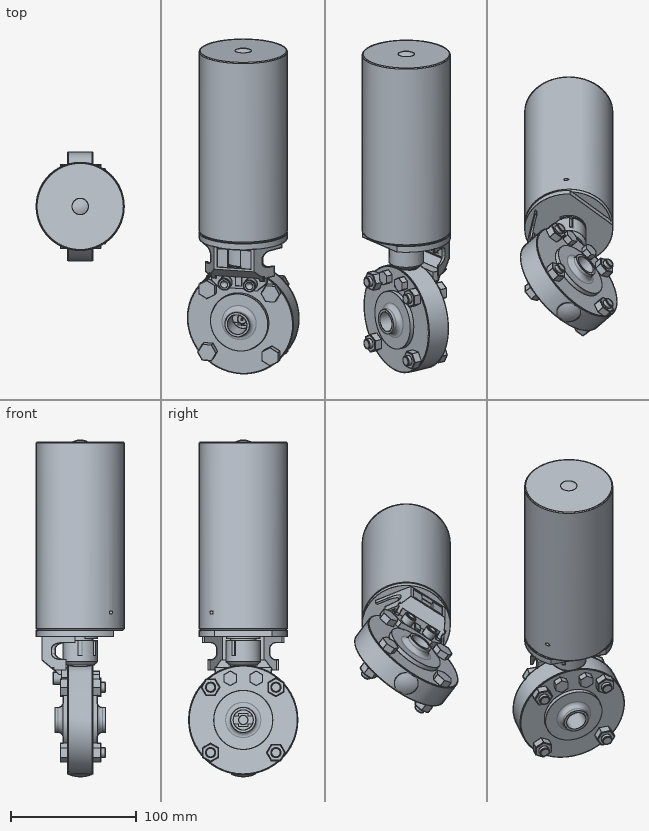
import cadquery as cq
import math


body_radius = 43.5
body_half_width = 10.0
body_edge_chamfer = 0.6
hub_diameter = 47.0
hub_half_width = 13.6
pipe_outer_diameter = 20.0
pipe_bore_diameter = 16.0
pipe_half_length = 20.15
pipe_root_fillet = 4.0
foot_diameter = 19.0
foot_projection = 1.8
foot_base_z = -43.2

disc_half_thickness = 2.0
disc_band_half_height = 3.3
disc_band_half_thickness = 3.0
disc_hub_diameter = 7.32
disc_hub_half_length = 4.5
disc_hub_hole_diameter = 1.8
disc_hub_hole_depth = 1.5
disc_boss_half_height = 5.2

bolt_offset = 26.0
bolt_diameter = 8.0
bolt_end_x = pipe_half_length
bolt_end_chamfer = 0.6
bolt_hex_flats = 13.0
bolt_head_height = 5.8
bolt_nut_height = 6.6
hex_edge_chamfer = 0.5
bolt_places = [(1, 1, 30), (1, -1, 0), (-1, 1, 0), (-1, -1, 30)]

actuator_radius = 35.1
actuator_bottom_z = 71.1
actuator_top_z = 221.0
actuator_bottom_chamfer = 1.5
actuator_top_chamfer = 0.8
overall_height = 268.0
dome_radius = 6.5
dome_height = overall_height - (actuator_top_z + body_radius + foot_projection)
vent_diameter = 2.5
vent_x = 24.4
vent_z = 85.5
vent_floor_y = -20.0

plate_bottom_z = 66.3
plate_flat_x = 26.5

stem_diameter = 20.0
collar_radius = 13.8
collar_bottom_z = 43.8
collar_top_z = 63.1
collar_neck_height = 2.6
relief_left_x = -1.6
relief_right_x = 1.5
relief_bottom_z = 51.3
relief_depth = 0.3
groove_left_x = 10.6
groove_right_x = 12.0
groove_floor_y = -6.2
spigot_left_x = 4.0
spigot_height = 1.7

bracket_front_x = -30.4
bracket_front_half_width = 16.5
bracket_rear_x = -4.0
bracket_rear_half_width = 32.6
bracket_front_wall = 3.2
bracket_side_wall = 1.6
bracket_bottom_z = 39.7
lower_arm_rear_x = -11.2
slope_top_z = 47.6
slope_angle = 40.0
notch_half_width = 21.1
notch_bottom_z = 47.9
notch_top_z = 61.5
notch_fillet = 5.0
panel_half_width = 13.8
panel_bottom_z = 49.5
panel_top_z = 64.7
panel_depth = 0.6
window_half_width = 5.3

foot_plate_front_x = -15.0
foot_plate_half_width = 22.4
foot_plate_corner_z = 33.8
foot_plate_lower_half_width = 15.0
foot_plate_lower_z = 27.3
foot_plate_arch_z = 28.7
shelf_thickness = 2.0
rib_half_width = 2.5
rib_front_x = -16.2
rib_bottom_z = 30.9
gusset_inner_y = 18.0
gusset_outer_y = 21.2
gusset_bottom_z = 36.2

screw_y = 10.3
screw_z = 33.1
screw_head_diameter = 10.0
screw_head_end_x = -21.8
screw_socket_diameter = 6.0
screw_socket_depth = 3.0
screw_head_chamfer = 0.6
screw_nut_flats = 10.0
screw_nut_height = 5.4
screw_nut_angle = 30


def x_cylinder(radius, x_start, x_end, y=0.0, z=0.0):
    return (
        cq.Workplane("YZ", origin=(x_start, y, z))
        .circle(radius)
        .extrude(x_end - x_start)
    )


def z_cylinder(radius, z_start, z_end):
    return cq.Workplane("XY").workplane(offset=z_start).circle(radius).extrude(z_end - z_start)


def box(x_range, y_range, z_range):
    lengths = [high - low for low, high in (x_range, y_range, z_range)]
    corner = (x_range[0], y_range[0], z_range[0])
    return cq.Workplane("XY").box(*lengths, centered=False).translate(corner)


def hexagon(flats, x_start, x_end, y, z, corner_angle):
    """Hexagonal prism along X with one corner at corner_angle from the Y axis."""
    prism = (
        cq.Workplane("YZ")
        .polygon(6, flats / math.cos(math.pi / 6))
        .extrude(x_end - x_start)
        .rotate((0, 0, 0), (1, 0, 0), corner_angle)
    )
    return prism.translate((x_start, y, z))


def dome(radius, base_z, height):
    """Spherical cap on a flat base; a negative height makes it hang below the base."""
    sphere_radius = (radius**2 + height**2) / (2 * abs(height))
    sphere_z = base_z + height - math.copysign(sphere_radius, height)
    sphere = cq.Workplane("XY").sphere(sphere_radius).translate((0, 0, sphere_z))
    return sphere.intersect(z_cylinder(radius, base_z, base_z + height))


def valve_body():
    body = x_cylinder(body_radius, -body_half_width, body_half_width).edges().chamfer(body_edge_chamfer)
    body = body.union(x_cylinder(hub_diameter / 2, -hub_half_width, hub_half_width))
    foot_radius = foot_diameter / 2
    foot = z_cylinder(foot_radius, foot_base_z, 0)
    foot_height = body_radius + foot_projection + foot_base_z
    return body.union(foot).union(dome(foot_radius, foot_base_z, -foot_height))


def pipe_ends():
    """Revolved half profile of both pipe stubs, flared where they meet the hub."""
    outer = pipe_outer_diameter / 2
    flare = outer + pipe_root_fillet
    flare_x = hub_half_width + pipe_root_fillet
    middle_reach = pipe_root_fillet * (1 - math.sqrt(0.5))
    profile = (
        cq.Workplane("XY")
        .moveTo(0, 0)
        .lineTo(pipe_half_length, 0)
        .lineTo(pipe_half_length, outer)
        .lineTo(flare_x, outer)
        .threePointArc((hub_half_width + middle_reach, outer + middle_reach), (hub_half_width, flare))
        .lineTo(0, flare)
        .close()
    )
    stub = profile.revolve(360, (0, 0, 0), (1, 0, 0))
    return stub.union(stub.mirror("YZ"))


def butterfly_disc():
    bore = pipe_bore_diameter / 2
    disc = x_cylinder(bore, -disc_half_thickness, disc_half_thickness)
    band = x_cylinder(bore, -disc_band_half_thickness, disc_band_half_thickness).intersect(
        box(
            (-disc_band_half_thickness, disc_band_half_thickness),
            (-bore, bore),
            (-disc_band_half_height, disc_band_half_height),
        )
    )
    hub = x_cylinder(disc_hub_diameter / 2, -disc_hub_half_length, disc_hub_half_length)
    boss_half_width = disc_hub_diameter / 2
    boss = box(
        (-disc_band_half_thickness, disc_band_half_thickness),
        (-boss_half_width, boss_half_width),
        (-disc_boss_half_height, disc_boss_half_height),
    )
    hole_floor_x = disc_hub_hole_depth - disc_hub_half_length
    hole = x_cylinder(disc_hub_hole_diameter / 2, -disc_hub_half_length, hole_floor_x)
    return disc.union(band).union(boss).union(hub).cut(hole)


def flange_bolt(y_side, z_side, corner_angle):
    y = y_side * bolt_offset
    z = z_side * bolt_offset
    head_end = -body_half_width - bolt_head_height
    nut_end = body_half_width + bolt_nut_height
    shank = x_cylinder(bolt_diameter / 2, 0, bolt_end_x, y, z).faces(">X").chamfer(bolt_end_chamfer)
    head = hexagon(bolt_hex_flats, head_end, -body_half_width, y, z, corner_angle)
    nut = hexagon(bolt_hex_flats, body_half_width, nut_end, y, z, corner_angle)
    nut = nut.faces(">X").chamfer(hex_edge_chamfer)
    return shank.union(head).union(nut)


def actuator():
    body = z_cylinder(actuator_radius, actuator_bottom_z, actuator_top_z)
    body = body.faces("<Z").chamfer(actuator_bottom_chamfer).faces(">Z").chamfer(actuator_top_chamfer)
    vent = (
        cq.Workplane("XZ", origin=(vent_x, vent_floor_y, vent_z))
        .circle(vent_diameter / 2)
        .extrude(actuator_radius)
    )
    return body.union(dome(dome_radius, actuator_top_z, dome_height)).cut(vent)


def mounting_plate():
    plate = z_cylinder(actuator_radius, plate_bottom_z, actuator_bottom_z)
    beyond_flat = box(
        (plate_flat_x, actuator_radius),
        (-actuator_radius, actuator_radius),
        (plate_bottom_z, actuator_bottom_z),
    )
    return plate.cut(beyond_flat)


def stem_and_collar():
    stem = z_cylinder(stem_diameter / 2, 0, actuator_bottom_z)
    collar = z_cylinder(collar_radius, collar_bottom_z, collar_top_z)
    collar = collar.faces("<Z").chamfer(collar_neck_height)
    relief = (
        cq.Workplane("XY")
        .workplane(offset=relief_bottom_z)
        .moveTo(relief_left_x, -collar_radius)
        .lineTo(relief_right_x, -collar_radius)
        .lineTo(relief_right_x, -math.sqrt(collar_radius**2 - relief_right_x**2))
        .lineTo(relief_left_x, relief_depth - collar_radius)
        .close()
        .extrude(collar_top_z - relief_bottom_z)
    )
    groove = box(
        (groove_left_x, groove_right_x),
        (-collar_radius, groove_floor_y),
        (relief_bottom_z, collar_top_z),
    )
    spigot_bottom_z = plate_bottom_z - spigot_height
    spigot = z_cylinder(collar_radius, spigot_bottom_z, plate_bottom_z).intersect(
        box(
            (spigot_left_x, collar_radius),
            (-collar_radius, collar_radius),
            (spigot_bottom_z, plate_bottom_z),
        )
    )
    return stem.union(collar.cut(relief).cut(groove)).union(spigot)


def bracket_outline(front_inset, side_inset):
    """Plan of the bracket: a front wall and two side walls spreading toward the rear.

    The insets move the front and side lines inward, giving the inner faces of the walls.
    """
    side_slope = (bracket_rear_half_width - bracket_front_half_width) / (bracket_rear_x - bracket_front_x)
    side_shift = side_inset * math.hypot(1, side_slope)
    front_x = bracket_front_x + front_inset
    front_y = bracket_front_half_width + front_inset * side_slope - side_shift
    rear_y = bracket_rear_half_width - side_shift
    return [(front_x, -front_y), (bracket_rear_x, -rear_y), (bracket_rear_x, rear_y), (front_x, front_y)]


def below_slope(offset):
    """Wedge of space under the sloping lower front of the bracket, shifted along X by offset."""
    fall = math.tan(math.radians(slope_angle))
    top_x = bracket_front_x + offset
    run = slope_top_z / fall
    return (
        cq.Workplane("XZ")
        .polyline([(top_x, slope_top_z), (top_x + run, 0), (top_x - run, 0), (top_x - run, slope_top_z)])
        .close()
        .extrude(body_radius, both=True)
    )


def bracket_block(front_inset, side_inset):
    height = plate_bottom_z - bracket_bottom_z
    return (
        cq.Workplane("XY")
        .workplane(offset=bracket_bottom_z)
        .polyline(bracket_outline(front_inset, side_inset))
        .close()
        .extrude(height)
    )


def bracket():
    slope_wall_run = bracket_front_wall / math.sin(math.radians(slope_angle))
    shell = bracket_block(0, 0).cut(below_slope(0))
    cavity = bracket_block(bracket_front_wall, bracket_side_wall).cut(below_slope(slope_wall_run))
    shell = shell.cut(cavity)
    arm_depth = bracket_rear_half_width - notch_half_width + notch_fillet
    x_range = (bracket_front_x, bracket_rear_x)
    for side in (-1, 1):
        notch = box(x_range, (notch_half_width, notch_half_width + arm_depth), (notch_bottom_z, notch_top_z))
        notch = notch.edges("|X and <Y").fillet(notch_fillet)
        shell = shell.cut(notch if side > 0 else notch.mirror("XZ"))
    arm_trim = box(
        (lower_arm_rear_x, bracket_rear_x),
        (-bracket_rear_half_width, bracket_rear_half_width),
        (bracket_bottom_z, notch_top_z),
    )
    shell = shell.cut(arm_trim)
    panel = box(
        (bracket_front_x, bracket_front_x + panel_depth),
        (-panel_half_width, panel_half_width),
        (panel_bottom_z, panel_top_z),
    )
    window = box(
        (bracket_front_x, bracket_front_x + bracket_front_wall),
        (-window_half_width, window_half_width),
        (panel_bottom_z, panel_top_z),
    )
    return shell.cut(panel).cut(window)


def foot_plate():
    outline = (
        cq.Workplane("YZ", origin=(foot_plate_front_x, 0, 0))
        .moveTo(-foot_plate_half_width, bracket_bottom_z)
        .lineTo(-foot_plate_half_width, foot_plate_corner_z)
        .lineTo(-foot_plate_lower_half_width, foot_plate_lower_z)
        .threePointArc((0, foot_plate_arch_z), (foot_plate_lower_half_width, foot_plate_lower_z))
        .lineTo(foot_plate_half_width, foot_plate_corner_z)
        .lineTo(foot_plate_half_width, bracket_bottom_z)
        .close()
    )
    plate = outline.extrude(-body_half_width - foot_plate_front_x)
    shelf_top_z = bracket_bottom_z + shelf_thickness
    shelf = box(
        (bracket_front_x, -body_half_width),
        (-foot_plate_half_width, foot_plate_half_width),
        (bracket_bottom_z, shelf_top_z),
    )
    rib = box((rib_front_x, -body_half_width), (-rib_half_width, rib_half_width), (rib_bottom_z, shelf_top_z))
    webs = shelf
    for y_range in ((gusset_inner_y, gusset_outer_y), (-gusset_outer_y, -gusset_inner_y)):
        webs = webs.union(box((bracket_front_x, -body_half_width), y_range, (gusset_bottom_z, shelf_top_z)))
    return plate.union(webs.cut(below_slope(0))).union(rib)


def foot_screw(y):
    head = x_cylinder(screw_head_diameter / 2, screw_head_end_x, foot_plate_front_x, y, screw_z)
    head = head.faces("<X").chamfer(screw_head_chamfer)
    socket = cq.Solid.makeCone(
        screw_socket_diameter / 2,
        0,
        screw_socket_depth,
        cq.Vector(screw_head_end_x, y, screw_z),
        cq.Vector(1, 0, 0),
    )
    nut_end = body_half_width + screw_nut_height
    nut = hexagon(screw_nut_flats, body_half_width, nut_end, y, screw_z, screw_nut_angle)
    return head.cut(socket).union(nut)


def assembly():
    bore = x_cylinder(pipe_bore_diameter / 2, -pipe_half_length, pipe_half_length)
    part = valve_body().union(stem_and_collar()).union(pipe_ends())
    part = part.cut(bore).union(butterfly_disc())
    for place in bolt_places:
        part = part.union(flange_bolt(*place))
    part = part.union(mounting_plate()).union(actuator())
    part = part.union(bracket()).union(foot_plate())
    for y in (-screw_y, screw_y):
        part = part.union(foot_screw(y))
    return part


result = assembly()